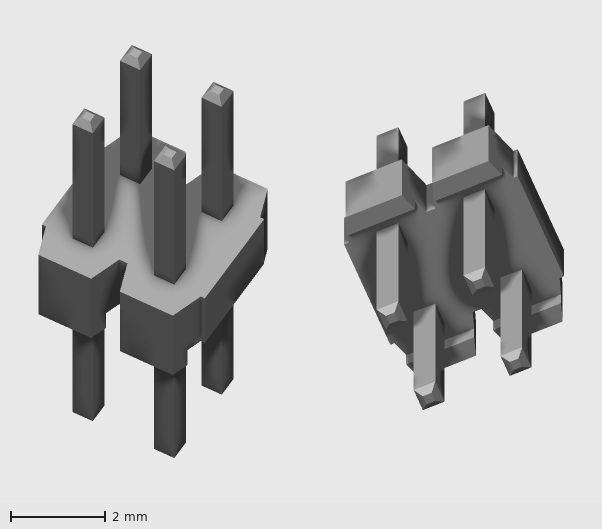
import cadquery as cq

PITCH = 2.0
COLUMNS = 2
ROWS = 2

PIN_LENGTH = 10.0
PIN_WIDTH = 0.5
TIP_CHAMFER = 0.15

HOUSING_DEPTH = ROWS * PITCH
HOUSING_TOP = 1.0
HOUSING_BOTTOM = -1.0
SLAB_BOTTOM = -0.5
FOOT_THICKNESS = 0.4
CORNER_DEPTH = 0.75
CORNER_STEP = 0.1
CORNER_INSET = 0.35


def centred_positions(count):
    """Positions of `count` items at the pitch, centred on the origin."""
    return [(i - (count - 1) / 2) * PITCH for i in range(count)]


def make_cell():
    """One column of the housing: tapered corners and a foot at each Y end."""
    side = PITCH / 2
    end = HOUSING_DEPTH / 2
    shoulder = end - CORNER_DEPTH
    corner = [
        (side, shoulder),
        (side - CORNER_STEP, shoulder),
        (side - CORNER_INSET, end),
    ]
    end_outline = corner + [(-x, y) for x, y in reversed(corner)]
    outline = end_outline + [(-x, -y) for x, y in end_outline]
    block = (
        cq.Workplane("XY")
        .workplane(offset=HOUSING_BOTTOM)
        .polyline(outline)
        .close()
        .extrude(HOUSING_TOP - HOUSING_BOTTOM)
    )
    channel = (
        cq.Workplane("XY")
        .workplane(offset=HOUSING_BOTTOM)
        .rect(PITCH, HOUSING_DEPTH - 2 * FOOT_THICKNESS)
        .extrude(SLAB_BOTTOM - HOUSING_BOTTOM)
    )
    return block.cut(channel)


def make_pin():
    """Square pin centred on the origin with both ends chamfered all round."""
    return (
        cq.Workplane("XY")
        .box(PIN_WIDTH, PIN_WIDTH, PIN_LENGTH)
        .faces("<Z or >Z")
        .chamfer(TIP_CHAMFER)
    )


cell = make_cell()
pin = make_pin()

result = cq.Workplane("XY")
for x in centred_positions(COLUMNS):
    result = result.union(cell.translate((x, 0, 0)))
for x in centred_positions(COLUMNS):
    for y in centred_positions(ROWS):
        result = result.union(pin.translate((x, y, 0)))